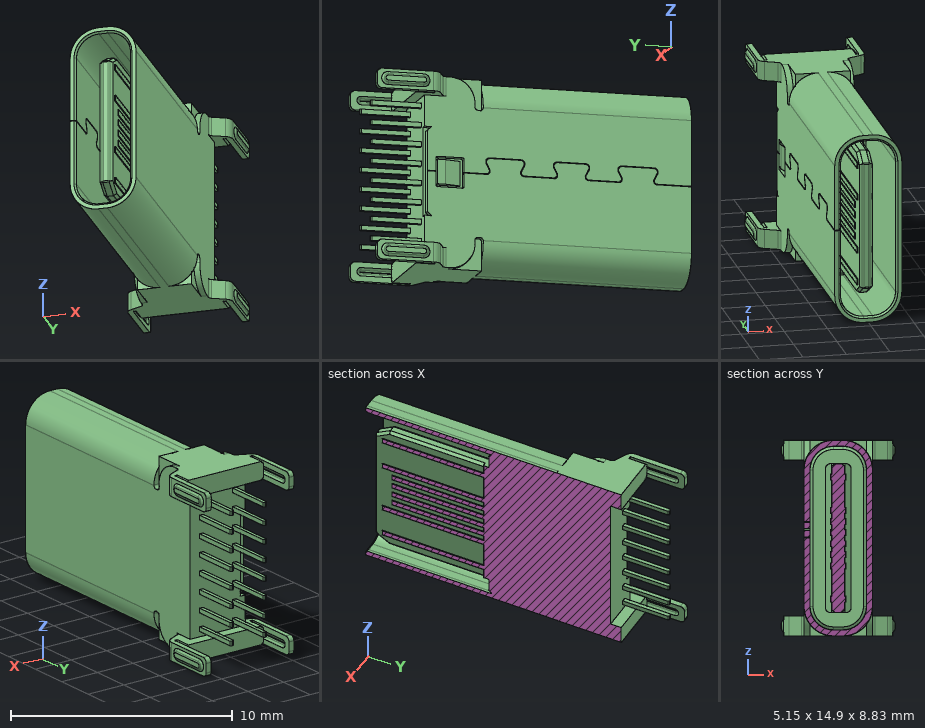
import cadquery as cq
import math


HEIGHT = 8.83
LENGTH = 14.92
SHELL_WIDTH = 3.1
OVERALL_WIDTH = 5.15
SHEET = 0.28

TUBE_LENGTH = 9.73
TUBE_RADIUS = 1.35
MOUTH_CHAMFER = 0.09
CAVITY_DEPTH = 6.27
FLOOR_CHAMFER = 0.13

TONGUE_TIP = 0.45
TONGUE_HEIGHT = 6.71
TONGUE_TIP_HEIGHT = 5.88
TONGUE_LEAD = 0.73
TONGUE_CORE = 0.15
TONGUE_BEVEL = 0.15
TONGUE_BEVEL_INSET = 0.1
TONGUE_EDGE = 0.05
POWER_CONTACT_START = 0.85
SIGNAL_CONTACT_START = 1.35
CONTACT_WIDTH = 0.27
CONTACT_RISE = 0.05
POWER_CONTACT_Z = [1.25, 2.75]
SIGNAL_CONTACT_Z = [0.25, 0.75]
ROOT_WIDTH = 1.16
ROOT_CORNER = 0.24

BODY_END = 12.47
RELIEF_RADIUS = 1.16
RELIEF_CORNER = 0.15
RELIEF_GAP = 0.39
RELIEF_BOTTOM = 2.94

TAB_HEIGHT = 0.91
TAB_WIDTH = 4.92
TAB_CORNER = 0.22
FLANGE_END = 13.01
FLARE_START = 11.6
FLARE_END = 12.03
FLARE_INNER_RADIUS = 0.18
FLARE_OUTER_RADIUS = 0.42
GROOVE_WIDTH = 0.13
GROOVE_START = 12.16

BEAD_CENTER = 13.59
BEAD_LENGTH = 2.25
BEAD_HEIGHT = 0.6
BEAD_INSET = 0.1
BEAD_STEP = 0.07
BEAD_RISE = (OVERALL_WIDTH - TAB_WIDTH) / 2
BEAD_CROWN = 0.03

PIN_ROWS = 8
PIN_PITCH = 0.9
PIN_X = 0.93
PIN_WIDTH = 0.2
PIN_HEIGHT = 0.22
PIN_END = 14.83
PIN_CHAMFER = 0.06

SEAM_GAP = 0.03
DOVETAIL_HEIGHT = 0.75
DOVETAIL_ROUND = 0.16
DOVETAILS = [(2.5, 1.01, 0.63), (5.61, 0.93, 0.54), (8.7, 0.98, 0.61)]
SEAM_END = 12.26

WINDOW_START = 10.62
WINDOW_END = 11.94
WINDOW_HEIGHT = 1.4
WINDOW_CORNER = 0.09
LATCH_START = 10.75
LATCH_CREST = 11.49
LATCH_END = 11.88
LATCH_HEIGHT = 1.13
LATCH_DROP = 0.18
NOTCH_DEPTH = 0.13
NOTCH_HALF_HEIGHT = 2.06
NOTCH_CORNER_DEPTH = 0.33
NOTCH_CORNER_HEIGHT = 0.18

OVERLAP = 0.15

HALF_SHELL = SHELL_WIDTH / 2
CORE_HALF = HALF_SHELL - SHEET
HALF_HEIGHT = HEIGHT / 2
HALF_TAB = TAB_WIDTH / 2
FLANGE_ROOT = TUBE_LENGTH + RELIEF_GAP + RELIEF_RADIUS
TAB_Z = (HEIGHT - TAB_HEIGHT) / 2


def box(x0, x1, y0, y1, z0, z1):
    """Axis-aligned box between two opposite corners."""
    return cq.Workplane("XY").box(x1 - x0, y1 - y0, z1 - z0, centered=False).translate((x0, y0, z0))


def prism_along_y(width, height, radius, y0, y1):
    """Rounded rectangle in XZ, extruded from y0 to y1."""
    return box(-width / 2, width / 2, y0, y1, -height / 2, height / 2).edges("|Y").fillet(radius)


def extrude_yz(points, x0, x1):
    """Closed (Y, Z) outline extruded from x0 to x1."""
    return cq.Workplane("YZ", origin=(x0, 0, 0)).polyline(points).close().extrude(x1 - x0)


def both_sides(solid):
    """The solid together with its mirror image across X = 0."""
    return solid.union(solid.mirror("YZ"))


def make_shell():
    tube = prism_along_y(SHELL_WIDTH, HEIGHT, TUBE_RADIUS, 0, TUBE_LENGTH)
    inner_width = SHELL_WIDTH - 2 * SHEET
    inner_height = HEIGHT - 2 * SHEET
    cavity = prism_along_y(inner_width, inner_height, TUBE_RADIUS - SHEET, 0, CAVITY_DEPTH)
    tube = tube.cut(cavity)
    tube = tube.cut(make_mouth_lead_in(inner_width, inner_height))
    floor_depth = CAVITY_DEPTH + 2 * FLOOR_CHAMFER
    floor = prism_along_y(inner_width, inner_height, TUBE_RADIUS - SHEET, CAVITY_DEPTH, floor_depth)
    bevelled_floor = floor.faces("<Y").chamfer(FLOOR_CHAMFER)
    return tube.cut(floor.cut(bevelled_floor))


def make_mouth_lead_in(inner_width, inner_height):
    """Flared plug that bevels the inner edge of the mouth."""
    width = inner_width + 2 * MOUTH_CHAMFER
    height = inner_height + 2 * MOUTH_CHAMFER
    plug = prism_along_y(width, height, TUBE_RADIUS - SHEET + MOUTH_CHAMFER, -OVERLAP, MOUTH_CHAMFER)
    return plug.faces(">Y").chamfer(MOUTH_CHAMFER)


def make_tongue():
    half_tip = TONGUE_TIP_HEIGHT / 2
    half = TONGUE_HEIGHT / 2
    back = CAVITY_DEPTH + OVERLAP
    outline = [(TONGUE_TIP, -half_tip), (TONGUE_TIP + TONGUE_LEAD, -half), (back, -half),
               (back, half), (TONGUE_TIP + TONGUE_LEAD, half), (TONGUE_TIP, half_tip)]
    core = extrude_yz(outline, 0, TONGUE_CORE)
    bevel_angle = math.degrees(math.atan(TONGUE_BEVEL_INSET / TONGUE_BEVEL))
    bevel = (cq.Workplane("YZ", origin=(TONGUE_CORE, 0, 0)).polyline(outline).close()
             .extrude(TONGUE_BEVEL, taper=bevel_angle))
    blade = both_sides(core.union(bevel)).faces("<Y").chamfer(TONGUE_EDGE)
    return blade.union(make_contacts()).union(make_tongue_root())


def make_contacts():
    """Contact strips standing slightly proud of both faces of the tongue."""
    reach = TONGUE_CORE + TONGUE_BEVEL + CONTACT_RISE
    rows = [(POWER_CONTACT_START, z) for z in POWER_CONTACT_Z]
    rows += [(SIGNAL_CONTACT_START, z) for z in SIGNAL_CONTACT_Z]
    contacts = cq.Workplane("XY")
    for start, z in rows:
        strip = box(-reach, reach, start, CAVITY_DEPTH, z - CONTACT_WIDTH / 2, z + CONTACT_WIDTH / 2)
        contacts = contacts.union(strip).union(strip.mirror("XY"))
    return contacts


def make_tongue_root():
    """Step that thickens the tongue at 45 degrees where it meets the cavity floor."""
    half = ROOT_WIDTH / 2
    tip_half = TONGUE_CORE + TONGUE_BEVEL
    tip_y = CAVITY_DEPTH - (half - tip_half)
    back = CAVITY_DEPTH + OVERLAP
    wedge = (cq.Workplane("XY", origin=(0, 0, -TONGUE_HEIGHT / 2))
             .polyline([(-half, back), (-half, CAVITY_DEPTH), (-tip_half, tip_y),
                        (tip_half, tip_y), (half, CAVITY_DEPTH), (half, back)])
             .close().extrude(TONGUE_HEIGHT))
    return wedge.intersect(prism_along_y(ROOT_WIDTH, TONGUE_HEIGHT, ROOT_CORNER, tip_y - OVERLAP, back))


def make_rear_body():
    body = box(-HALF_SHELL, HALF_SHELL, TUBE_LENGTH, BODY_END, -HALF_HEIGHT, HALF_HEIGHT)
    relief = make_sheet_relief()
    return body.cut(relief).cut(relief.mirror("XY"))


def make_sheet_relief():
    """Region beside the block, on both X sides, where the sheet is cut away at the top."""
    edge = TUBE_LENGTH + RELIEF_GAP
    arc_z = HALF_HEIGHT - RELIEF_RADIUS
    diagonal = RELIEF_RADIUS * math.sqrt(0.5)
    arc_mid = (edge + RELIEF_RADIUS - diagonal, arc_z + diagonal)
    relief = (cq.Workplane("YZ", origin=(CORE_HALF, 0, 0))
              .moveTo(TUBE_LENGTH, RELIEF_BOTTOM)
              .lineTo(edge, RELIEF_BOTTOM)
              .lineTo(edge, arc_z)
              .threePointArc(arc_mid, (edge + RELIEF_RADIUS, HALF_HEIGHT))
              .lineTo(TUBE_LENGTH, HALF_HEIGHT)
              .close().extrude(SHEET)
              .faces("<Z").edges("|X").fillet(RELIEF_CORNER))
    return both_sides(relief)


def make_tab_pair():
    """Flange with two solder tabs, centered on Z = 0."""
    z0 = -TAB_HEIGHT / 2
    inner = HALF_TAB - SHEET
    half = (cq.Workplane("XY", origin=(0, 0, z0))
            .polyline([(0, FLANGE_ROOT), (HALF_SHELL, FLANGE_ROOT), (HALF_SHELL, FLARE_START),
                       (HALF_TAB, FLARE_END), (HALF_TAB, LENGTH), (inner, LENGTH),
                       (inner, FLANGE_END), (0, FLANGE_END)])
            .close().extrude(TAB_HEIGHT))
    half = half.edges(near_vertical_edge(HALF_SHELL, FLARE_START)).fillet(FLARE_INNER_RADIUS)
    half = half.edges(near_vertical_edge(HALF_TAB, FLARE_END)).fillet(FLARE_OUTER_RADIUS)
    half = half.faces(">Y").edges("|X").fillet(TAB_CORNER)
    groove = make_flange_groove(inner)
    half = half.cut(groove).cut(groove.mirror("XY"))
    half = half.union(make_bead(HALF_TAB, BEAD_LENGTH, BEAD_HEIGHT))
    dimple = make_bead(inner, BEAD_LENGTH - 2 * BEAD_INSET, BEAD_HEIGHT - 2 * BEAD_INSET)
    return both_sides(half.cut(dimple))


def near_vertical_edge(x, y):
    """Selector for the Z-parallel edge through (x, y)."""
    reach = 0.01
    return cq.selectors.BoxSelector((x - reach, y - reach, -reach), (x + reach, y + reach, reach))


def make_flange_groove(tab_inner):
    """Bevelled groove between the top of the flange and the tab."""
    top = TAB_HEIGHT / 2
    return (cq.Workplane("XZ", origin=(0, FLANGE_END, 0))
            .polyline([(tab_inner - GROOVE_WIDTH, top), (tab_inner, top), (tab_inner, top - GROOVE_WIDTH)])
            .close().extrude(FLANGE_END - GROOVE_START))


def make_bead(x, length, height):
    """Stadium bead rising in +X from the plane at x, in two tapering stages."""
    foot_rise = BEAD_RISE - BEAD_CROWN
    foot = (cq.Workplane("YZ", origin=(x, BEAD_CENTER, 0)).slot2D(length, height)
            .extrude(foot_rise, taper=math.degrees(math.atan(BEAD_INSET / foot_rise))))
    crown = (cq.Workplane("YZ", origin=(x + foot_rise, BEAD_CENTER, 0))
             .slot2D(length - 2 * BEAD_INSET, height - 2 * BEAD_INSET)
             .extrude(BEAD_CROWN, taper=math.degrees(math.atan(BEAD_STEP / BEAD_CROWN))))
    return foot.union(crown)


def make_pins():
    start = BODY_END - OVERLAP
    pin = box(-PIN_WIDTH / 2, PIN_WIDTH / 2, start, PIN_END, -PIN_HEIGHT / 2, PIN_HEIGHT / 2)
    pin = pin.faces(">Y").edges("|Z").chamfer(PIN_CHAMFER)
    pins = cq.Workplane("XY")
    for row in range(PIN_ROWS):
        z = (row - (PIN_ROWS - 1) / 2) * PIN_PITCH
        for x in (-PIN_X, PIN_X):
            pins = pins.union(pin.translate((x, 0, z)))
    return pins


def make_seam():
    """Narrow gap through the -X sheet that follows the dovetail tabs."""
    depth = 2 * DOVETAIL_HEIGHT
    points = [(-OVERLAP, -depth), (-OVERLAP, 0)]
    for center, top, base in DOVETAILS:
        points += [(center - base, 0), (center - top, DOVETAIL_HEIGHT),
                   (center + top, DOVETAIL_HEIGHT), (center + base, 0)]
    points += [(SEAM_END, 0), (SEAM_END, -depth)]
    lower = extrude_yz(points, -HALF_SHELL, -CORE_HALF)
    dovetail_zone = cq.selectors.BoxSelector((-HALF_SHELL, OVERLAP, -OVERLAP),
                                             (0, WINDOW_START, DOVETAIL_HEIGHT + OVERLAP))
    lower = lower.edges("|X").edges(dovetail_zone).fillet(DOVETAIL_ROUND)
    widened = lower.faces("<X").wires().toPending().offset2D(SEAM_GAP).extrude(SHEET)
    strip = box(-HALF_SHELL, -CORE_HALF, -OVERLAP, SEAM_END, -SEAM_GAP, DOVETAIL_HEIGHT + OVERLAP)
    return widened.intersect(strip).cut(lower)


def make_window():
    """Cutter for the latch window in the -X sheet, and the latch wedge that stands inside it."""
    half = WINDOW_HEIGHT / 2
    window = box(-HALF_SHELL, -CORE_HALF, WINDOW_START, WINDOW_END, -half, half)
    window = window.edges("|X").fillet(WINDOW_CORNER)
    latch = (cq.Workplane("XY", origin=(0, 0, -LATCH_HEIGHT / 2))
             .polyline([(-CORE_HALF, LATCH_START), (LATCH_DROP - HALF_SHELL, LATCH_START),
                        (-HALF_SHELL, LATCH_CREST), (-HALF_SHELL, LATCH_END), (-CORE_HALF, LATCH_END)])
             .close().extrude(LATCH_HEIGHT))
    return window, latch


def make_rear_notch():
    """Shallow cut in the rear edge of the -X sheet with relief corners."""
    edge = BODY_END - NOTCH_DEPTH
    corner = BODY_END - NOTCH_CORNER_DEPTH
    outer = NOTCH_HALF_HEIGHT
    inner = outer - NOTCH_CORNER_HEIGHT
    return extrude_yz([(BODY_END, -outer), (corner, -outer), (edge, -inner),
                       (edge, inner), (corner, outer), (BODY_END, outer)], -HALF_SHELL, -CORE_HALF)


result = make_shell().union(make_rear_body())
for side in (-1, 1):
    result = result.union(make_tab_pair().translate((0, 0, side * TAB_Z)))

window, latch = make_window()
result = result.cut(make_seam()).cut(window).union(latch).cut(make_rear_notch())
result = result.union(make_tongue()).union(make_pins())